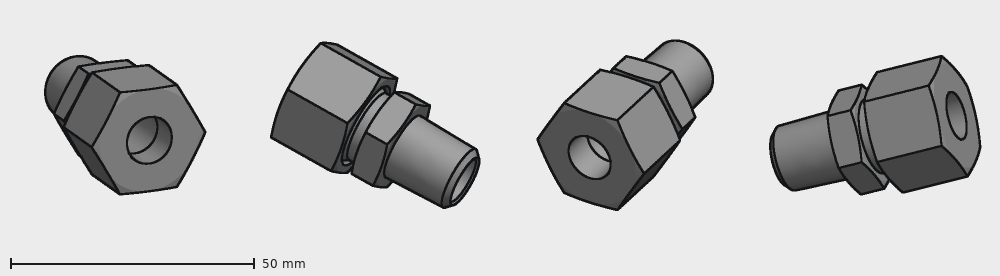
import cadquery as cq
import math

TOTAL_LENGTH = 39.5

BORE_RADIUS = 5.0
MOUTH_RADIUS = 5.53
MOUTH_DEPTH = MOUTH_RADIUS - BORE_RADIUS

NOSE_TIP_RADIUS = 5.6
NOSE_START_RADIUS = 6.87
NOSE_END_RADIUS = 7.25
NOSE_CHAMFER = 1.3

HEX_START = 15.0
HEX_LENGTH = 6.0
HEX_WIDTH = 19.0

NECK_RADIUS = 7.85
NECK_END = 23.62
SHANK_RADIUS = 8.55
LEAD_ANGLE = 30.0
SHANK_START = NECK_END + (SHANK_RADIUS - NECK_RADIUS) / math.tan(math.radians(LEAD_ANGLE))
SHANK_END = 32.0

NUT_LENGTH = 15.5
NUT_START = TOTAL_LENGTH - NUT_LENGTH
NUT_WIDTH = 22.0
NUT_MOUTH_RADIUS = 9.25
NUT_MOUTH_DEPTH = NUT_MOUTH_RADIUS - SHANK_RADIUS

CORNER_ANGLE = 15.0


def revolve_about_x(points):
    """Solid of revolution about X from an outline of (x, radius) points."""
    return cq.Workplane("XY").polyline(points).close().revolve(360, (0, 0, 0), (1, 0, 0))


def chamfered_hexagon(start, length, width):
    """Hexagonal prism along X, flats facing +Z and -Z, with turned corners at both ends."""
    end = start + length
    flat_radius = width / 2
    corner_radius = flat_radius / math.cos(math.radians(30))
    corner_depth = (corner_radius - flat_radius) * math.tan(math.radians(CORNER_ANGLE))
    prism = cq.Workplane("YZ", origin=(start, 0, 0)).polygon(6, 2 * corner_radius).extrude(length)
    envelope = revolve_about_x([
        (start, 0),
        (start, flat_radius),
        (start + corner_depth, corner_radius),
        (end - corner_depth, corner_radius),
        (end, flat_radius),
        (end, 0),
    ])
    return prism.intersect(envelope)


def make_body():
    """Tapered nose, hexagon, neck and shank with a bore right through."""
    turned = revolve_about_x([
        (0, 0),
        (0, NOSE_TIP_RADIUS),
        (NOSE_CHAMFER, NOSE_START_RADIUS),
        (HEX_START, NOSE_END_RADIUS),
        (HEX_START, NECK_RADIUS),
        (NECK_END, NECK_RADIUS),
        (SHANK_START, SHANK_RADIUS),
        (SHANK_END, SHANK_RADIUS),
        (SHANK_END, 0),
    ])
    bore = revolve_about_x([
        (0, 0),
        (0, MOUTH_RADIUS),
        (MOUTH_DEPTH, BORE_RADIUS),
        (SHANK_END, BORE_RADIUS),
        (SHANK_END, 0),
    ])
    return turned.union(chamfered_hexagon(HEX_START, HEX_LENGTH, HEX_WIDTH)).cut(bore)


def make_nut():
    """Hexagon nut that fits over the shank and continues its bore to the far end."""
    opening = revolve_about_x([
        (NUT_START, 0),
        (NUT_START, NUT_MOUTH_RADIUS),
        (NUT_START + NUT_MOUTH_DEPTH, SHANK_RADIUS),
        (SHANK_END, SHANK_RADIUS),
        (SHANK_END, BORE_RADIUS),
        (TOTAL_LENGTH, BORE_RADIUS),
        (TOTAL_LENGTH, 0),
    ])
    return chamfered_hexagon(NUT_START, NUT_LENGTH, NUT_WIDTH).cut(opening)


body = make_body()
nut = make_nut()

result = cq.Compound.makeCompound([body.val(), nut.val()])